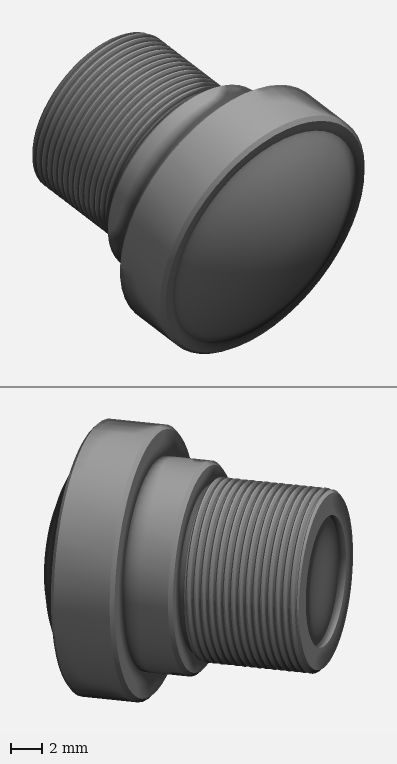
import cadquery as cq
import math

thread_end = 7.75
neck_end = 8.19
shoulder_end = 11.5
flange_end = 15.79
dome_tip = 18.36

neck_radius = 5.5
shoulder_radius = 7.0
flange_radius = 9.0
dome_radius_at_base = 8.0
edge_chamfer = 0.25

thread_pitch = 0.5
crest_radius = 6.0
root_radius = 5.75
ridge_base_width = 0.39
ridge_crest_width = 0.1
ridge_embed = 0.05
trim_clearance = 0.05
thread_phase = 0.45

recess_radius = 4.3
recess_depth = 0.5


def cylinder(start, end, radius):
    """Solid cylinder around the X axis."""
    return cq.Workplane("YZ", origin=(start, 0, 0)).circle(radius).extrude(end - start)


def spherical_dome():
    """Spherical cap whose flat base sits on the flange."""
    height = dome_tip - flange_end
    sphere_radius = (dome_radius_at_base**2 + height**2) / (2 * height)
    arc_middle_radius = dome_radius_at_base / 2
    sphere_center = dome_tip - sphere_radius
    arc_middle_x = sphere_center + math.sqrt(sphere_radius**2 - arc_middle_radius**2)
    half_section = (
        cq.Workplane("XY")
        .moveTo(flange_end, 0)
        .lineTo(flange_end, dome_radius_at_base)
        .threePointArc((arc_middle_x, arc_middle_radius), (dome_tip, 0))
        .close()
    )
    return half_section.revolve(360, (0, 0, 0), (1, 0, 0))


def helical_ridge():
    """Thread ridge, overrunning both ends of the threaded length."""
    start = thread_phase - 2 * thread_pitch
    length = thread_end - start + thread_pitch
    base_radius = root_radius - ridge_embed
    flank_slope = (ridge_base_width - ridge_crest_width) / (crest_radius - root_radius)
    half_base = (ridge_base_width + ridge_embed * flank_slope) / 2
    half_crest = ridge_crest_width / 2

    path = cq.Wire.makeHelix(thread_pitch, length, base_radius)
    profile = cq.Workplane("XZ").polyline([
        (base_radius, -half_base),
        (crest_radius, -half_crest),
        (crest_radius, half_crest),
        (base_radius, half_base),
    ]).close()
    ridge = profile.sweep(cq.Workplane(path), isFrenet=True)
    ridge = ridge.rotate((0, 0, 0), (1, 1, 1), 120)
    return ridge.translate((start, 0, 0))


def threaded_barrel():
    """Overlong threaded rod trimmed to the chamfered thread envelope."""
    overrun = 4 * thread_pitch
    rod = cylinder(-overrun, thread_end + overrun, root_radius).union(helical_ridge())
    envelope = cylinder(0, thread_end, crest_radius + trim_clearance)
    envelope = envelope.faces("<X").chamfer(edge_chamfer + trim_clearance)
    return rod.intersect(envelope)


neck = cylinder(thread_end, neck_end, neck_radius)
shoulder = cylinder(neck_end, shoulder_end, shoulder_radius).faces("<X").chamfer(edge_chamfer)
flange = cylinder(shoulder_end, flange_end, flange_radius).faces("<X or >X").chamfer(edge_chamfer)
recess = cylinder(0, recess_depth, recess_radius)

head = neck.union(shoulder).union(flange).union(spherical_dome())
result = threaded_barrel().union(head).cut(recess)